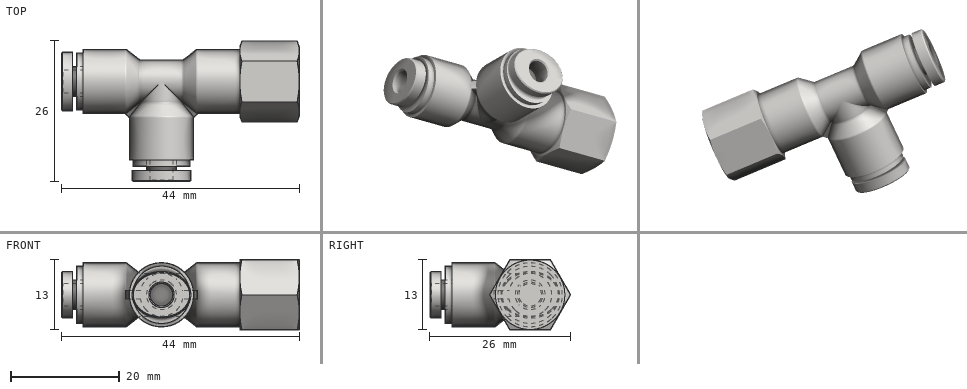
import cadquery as cq
import math


OVERALL_LENGTH = 44.0
OVERALL_DEPTH = 26.0

HEX_FLATS = 13.0
HEX_CORNERS = 2 * HEX_FLATS / math.sqrt(3)
HEX_FACE_D = 12.85
HEX_CHAMFER_LENGTH = 0.4

BARREL_D = 11.9
WAIST_D = 7.95
WAIST_END = 4.0
BARREL_START = 6.5
BARREL_END = 14.48
SHOULDER_FILLET = 0.45

WEB_THICKNESS = 1.5
WEB_LONG = 6.65
WEB_SHORT = 6.0

COLLAR_D = 10.6
COLLAR_LENGTH = 1.25

BUTTON_REACH = OVERALL_DEPTH - HEX_CORNERS / 2
BUTTON_WIDTH = 10.85
BUTTON_HEIGHT = 8.62
FLANGE_THICKNESS = 2.05
FLANGE_CHAMFER = 0.2
NECK_D = 5.5
BORE_D = 4.2
BORE_CHAMFER = 0.25

HEX_END = OVERALL_LENGTH - BUTTON_REACH

RUN_PORT_TURN = 0
BRANCH_PORT_TURN = 90


def turned(shape, angle):
    return shape.rotate((0, 0, 0), (0, 0, 1), angle)


def port_plane(distance):
    """Plane across the -X arm, facing outward, with its local x axis along Y."""
    return cq.Workplane(cq.Plane(origin=(-distance, 0, 0), xDir=(0, -1, 0), normal=(-1, 0, 0)))


def make_arm():
    """One arm of the tee along -X, from the origin to the barrel end."""
    waist_r = WAIST_D / 2
    barrel_r = BARREL_D / 2
    arm = (
        cq.Workplane("XY")
        .polyline([
            (0, 0),
            (0, waist_r),
            (-WAIST_END, waist_r),
            (-BARREL_START, barrel_r),
            (-BARREL_END, barrel_r),
            (-BARREL_END, 0),
        ])
        .close()
        .revolve(360, (0, 0, 0), (1, 0, 0))
    )
    overshoot = 0.05
    shoulder = cq.selectors.BoxSelector(
        (-BARREL_START - overshoot, -BARREL_D, -BARREL_D),
        (-WAIST_END + overshoot, BARREL_D, BARREL_D),
    )
    return arm.edges("%CIRCLE").edges(shoulder).fillet(SHOULDER_FILLET)


def make_webs():
    """Flat plate that fills both inner corners between run and branch."""
    return (
        cq.Workplane("XY")
        .polyline([
            (0, 0),
            (-WEB_LONG, -WEB_SHORT),
            (-WEB_SHORT, -WEB_LONG),
            (WEB_SHORT, -WEB_LONG),
            (WEB_LONG, -WEB_SHORT),
        ])
        .close()
        .extrude(WEB_THICKNESS / 2, both=True)
    )


def make_tee_body():
    arm = make_arm()
    left_arm = turned(arm, RUN_PORT_TURN)
    branch_arm = turned(arm, BRANCH_PORT_TURN)
    right_arm = turned(arm, RUN_PORT_TURN + 180)
    return left_arm.union(right_arm).union(branch_arm).union(make_webs())


def make_collar():
    """Ring on the barrel end, around the button neck."""
    return port_plane(BARREL_END).circle(COLLAR_D / 2).circle(NECK_D / 2).extrude(COLLAR_LENGTH)


def make_button():
    """Elliptical flange on a round neck, bored through."""
    flange_start = BUTTON_REACH - FLANGE_THICKNESS
    flange = (
        port_plane(flange_start)
        .ellipse(BUTTON_WIDTH / 2, BUTTON_HEIGHT / 2)
        .extrude(FLANGE_THICKNESS)
        .faces("<X")
        .edges()
        .chamfer(FLANGE_CHAMFER)
    )
    neck = port_plane(BARREL_END).circle(NECK_D / 2).extrude(flange_start - BARREL_END)
    bore = port_plane(BARREL_END).circle(BORE_D / 2).extrude(BUTTON_REACH - BARREL_END)
    button = flange.union(neck).cut(bore)
    return button.faces("<X").edges("%CIRCLE").chamfer(BORE_CHAMFER)


def make_hex_end():
    """Hexagon on the +X end of the run, with corners on Y and both ends turned conical."""
    length = HEX_END - BARREL_END
    hexagon = cq.Workplane("YZ").workplane(offset=BARREL_END).polygon(6, HEX_CORNERS).extrude(length)
    face_r = HEX_FACE_D / 2
    corner_r = HEX_CORNERS / 2
    turned_envelope = (
        cq.Workplane("XY")
        .polyline([
            (BARREL_END, 0),
            (BARREL_END, face_r),
            (BARREL_END + HEX_CHAMFER_LENGTH, corner_r),
            (HEX_END - HEX_CHAMFER_LENGTH, corner_r),
            (HEX_END, face_r),
            (HEX_END, 0),
        ])
        .close()
        .revolve(360, (0, 0, 0), (1, 0, 0))
    )
    return hexagon.intersect(turned_envelope)


tee_body = make_tee_body()
hex_end = make_hex_end()
collars = []
buttons = []
for port_turn in (RUN_PORT_TURN, BRANCH_PORT_TURN):
    collars.append(turned(make_collar(), port_turn).val())
    buttons.append(turned(make_button(), port_turn).val())

result = cq.Compound.makeCompound([tee_body.val(), hex_end.val(), *collars, *buttons])